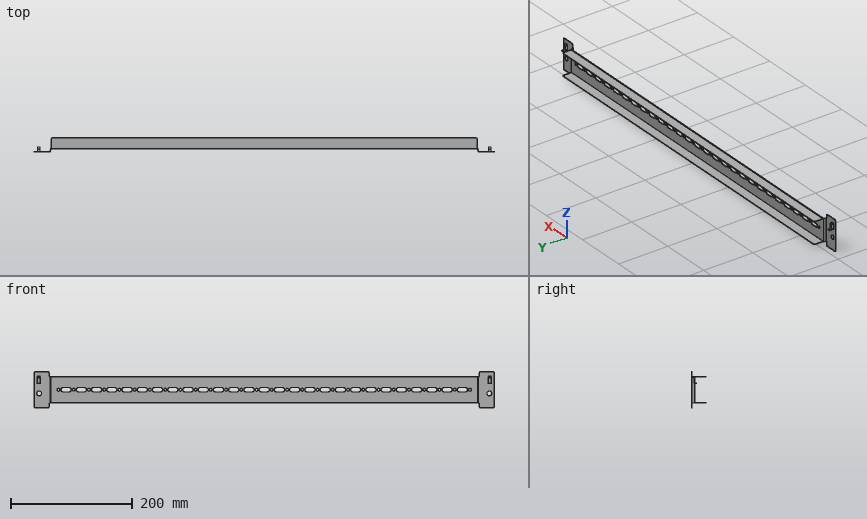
import cadquery as cq
import math

length = 755.0
sheet = 1.0
depth = 23.5

plate_width = 25.0
plate_height = 60.0
plate_corner = 2.0

tongue_length = 1.5
joggle_run = 1.5
floor_offset = 4.5
channel_height = 44.0
flange_corner = 3.0

hole_row_span = 675.0
slot_count = 27
slot_length = 16.5
slot_height = 7.0
round_hole = 4.2

bolt_hole_inset = 8.0
bolt_hole = 7.5
bolt_hole_z = -6.0
window_inset = 7.5
window_width = 5.0
window_top = 21.0
window_bottom = 10.0

hook_width = 4.5
hook_offset = 4.0
hook_slope_height = 1.5
hook_bend = 3.0
hook_reach = 8.0

pitch = hole_row_span / slot_count
half_length = length / 2
plate_inner = half_length - plate_width
channel_end = plate_inner - tongue_length - joggle_run
bolt_hole_x = half_length - bolt_hole_inset
window_x = half_length - window_inset
floor_back = floor_offset + sheet


def mirrored(right_side):
    """Return the right-hand solid joined with its mirror image in X."""
    return right_side.union(right_side.mirror("YZ"))


def end_plate():
    """Flat mounting plate at the +X end, front face at Y = 0."""
    plate = cq.Workplane("XY").box(plate_width, sheet, plate_height, centered=(False, False, True))
    return plate.edges("|Y").fillet(plate_corner).translate((plate_inner, 0, 0))


def joggle():
    """Flat tongue and sloped strip that step from the +X plate back to the channel floor."""
    bend_angle = math.atan2(floor_offset, joggle_run)
    back_shift = sheet * math.tan(bend_angle / 2)
    profile = [
        (plate_inner, 0),
        (channel_end + joggle_run, 0),
        (channel_end, floor_offset),
        (channel_end - sheet, floor_offset),
        (channel_end - sheet, floor_back),
        (channel_end + back_shift, floor_back),
        (channel_end + joggle_run + back_shift, sheet),
        (plate_inner, sheet),
    ]
    strip = cq.Workplane("XY").polyline(profile).close().extrude(channel_height)
    return strip.translate((0, 0, -channel_height / 2))


def channel():
    """U channel opening to the rear, with rounded rear corners on both flanges."""
    flange_depth = depth - floor_offset
    body = cq.Workplane("XY").box(2 * channel_end, flange_depth, channel_height, centered=(True, False, True))
    body = body.edges("|Z and >Y").fillet(flange_corner)
    cavity = cq.Workplane("XY").box(
        length, flange_depth, channel_height - 2 * sheet, centered=(True, False, True)
    )
    return body.cut(cavity.translate((0, sheet, 0))).translate((0, floor_offset, 0))


def front_plane():
    """Sketch plane on the front face; negative extrusions run toward the rear."""
    return cq.Workplane("XZ")


def perforation():
    """Row of slots with a small round hole on either side of each."""
    slot_points = [((i - (slot_count - 1) / 2) * pitch, 0) for i in range(slot_count)]
    hole_points = [((i - slot_count / 2) * pitch, 0) for i in range(slot_count + 1)]
    slots = front_plane().pushPoints(slot_points).slot2D(slot_length, slot_height).extrude(-depth)
    holes = front_plane().pushPoints(hole_points).circle(round_hole / 2).extrude(-depth)
    return slots.union(holes)


def plate_openings():
    """Bolt hole and hook window through the +X plate."""
    hole = front_plane().center(bolt_hole_x, bolt_hole_z).circle(bolt_hole / 2).extrude(-depth)
    window_height = window_top - window_bottom
    window = (
        front_plane()
        .center(window_x, (window_top + window_bottom) / 2)
        .rect(window_width, window_height)
        .extrude(-depth)
    )
    return hole.union(window)


def hook():
    """Tab that steps back from the window top, hangs down and curls to the rear."""
    hook_back = hook_offset + sheet
    slope_end = window_top - hook_slope_height
    bend_y = hook_offset + hook_bend
    bend_z = window_bottom + hook_bend
    inner_bend = hook_bend - sheet
    outer_diagonal = hook_bend * math.sqrt(0.5)
    inner_diagonal = inner_bend * math.sqrt(0.5)
    outer_mid = (bend_y - outer_diagonal, bend_z - outer_diagonal)
    inner_mid = (bend_y - inner_diagonal, bend_z - inner_diagonal)
    profile = (
        cq.Workplane("YZ")
        .moveTo(0, window_top + sheet)
        .lineTo(0, window_top)
        .lineTo(hook_offset, slope_end)
        .lineTo(hook_offset, bend_z)
        .threePointArc(outer_mid, (bend_y, window_bottom))
        .lineTo(hook_reach, window_bottom)
        .lineTo(hook_reach, window_bottom + sheet)
        .lineTo(bend_y, window_bottom + sheet)
        .threePointArc(inner_mid, (hook_back, bend_z))
        .lineTo(hook_back, slope_end + sheet)
        .lineTo(sheet, window_top + sheet)
        .close()
    )
    return profile.extrude(hook_width / 2, both=True).translate((window_x, 0, 0))


right_end = end_plate().union(joggle()).cut(plate_openings()).union(hook())
result = channel().union(mirrored(right_end)).cut(perforation())